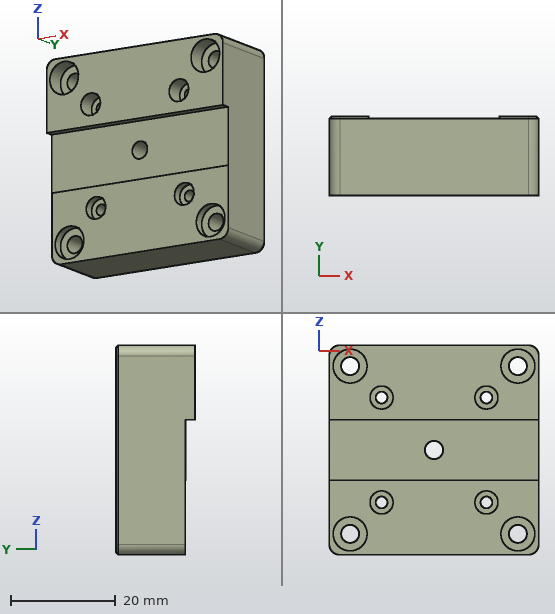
import cadquery as cq

side = 40.0
thickness = 15.1
corner_radius = 2.0
back_chamfer = 0.5

middle_band_height = 11.5
middle_step_depth = 1.8
lower_step_depth = 1.9

channel_width = 24.95
channel_depth = 0.3

center_hole_diameter = 3.45
corner_hole_offset = 16.0
corner_hole_diameter = 3.4
corner_bore_diameter = 6.5
corner_bore_depth = 3.75
inner_hole_offset = 10.0
inner_hole_diameter = 2.2
inner_bore_diameter = 4.4
inner_bore_depth = 3.75

front_y = -thickness / 2
back_y = thickness / 2


def cylinder_from_front(x, z, diameter, depth):
    """Cylinder running from the raised front face toward the back."""
    start = cq.Vector(x, front_y, z)
    return cq.Solid.makeCylinder(diameter / 2, depth, start, cq.Vector(0, 1, 0))


def front_step(top_z, depth):
    """Cutter that lowers the front face everywhere below top_z."""
    height = top_z + side / 2
    return (
        cq.Workplane("XY")
        .box(side, depth, height, centered=(True, False, False))
        .translate((0, front_y, -side / 2))
    )


def drill_square_pattern(body, offset, hole_diameter, bore_diameter, bore_depth):
    """Four counterbored through holes with all bore floors in one plane."""
    for x in (-offset, offset):
        for z in (-offset, offset):
            body = body.cut(cq.Workplane(cylinder_from_front(x, z, hole_diameter, thickness)))
            body = body.cut(cq.Workplane(cylinder_from_front(x, z, bore_diameter, bore_depth)))
    return body


body = cq.Workplane("XY").box(side, thickness, side)
body = body.edges("|Y").fillet(corner_radius)
body = body.faces(">Y").edges().chamfer(back_chamfer)

body = body.cut(front_step(middle_band_height / 2, middle_step_depth))
body = body.cut(front_step(-middle_band_height / 2, lower_step_depth))

channel = cq.Workplane("XY").box(channel_width, 2 * channel_depth, side)
body = body.cut(channel.translate((0, back_y, 0)))

body = body.cut(cq.Workplane(cylinder_from_front(0, 0, center_hole_diameter, thickness)))
body = drill_square_pattern(
    body, corner_hole_offset, corner_hole_diameter, corner_bore_diameter, corner_bore_depth
)
body = drill_square_pattern(
    body, inner_hole_offset, inner_hole_diameter, inner_bore_diameter, inner_bore_depth
)

result = body